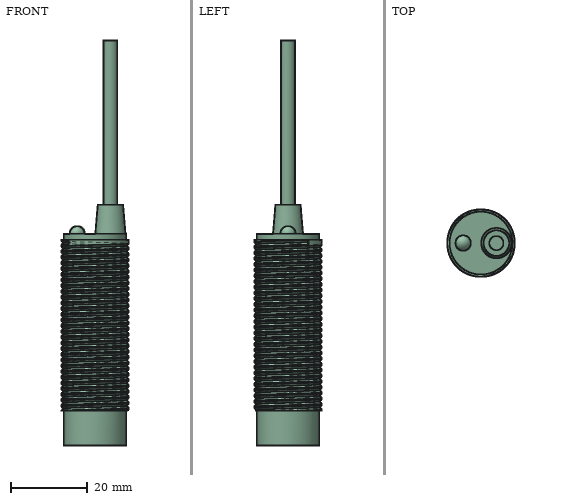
import cadquery as cq
import math

total_height = 106.2
core_diameter = 16.5
thread_diameter = 17.7
nose_height = 9.1
thread_top = 54.0
housing_top = 55.6

pitch = 1.5
root_diameter = 16.6
groove_width = 1.2
tool_overhang = 0.2
groove_end_height = 53.3
groove_end_angle = 218.0
groove_turns = 30.5

cable_x = 4.0
cable_diameter = 3.7
boot_base_diameter = 8.0
boot_top_diameter = 6.7
boot_top = 63.2

lamp_x = -4.7
lamp_radius = 2.0


def cylinder(diameter, bottom, top, x=0.0):
    """Vertical cylinder between two heights."""
    return cq.Workplane("XY", origin=(x, 0, bottom)).circle(diameter / 2).extrude(top - bottom)


def thread_groove():
    """Solid V profile swept along the thread helix."""
    root_radius = root_diameter / 2
    groove_depth = (thread_diameter - root_diameter) / 2
    mouth_radius = thread_diameter / 2 + tool_overhang
    half_mouth = groove_width / 2 * (groove_depth + tool_overhang) / groove_depth
    helix_height = groove_turns * pitch
    start_height = groove_end_height - helix_height
    start_angle = groove_end_angle - 360 * groove_turns

    helix = cq.Wire.makeHelix(pitch, helix_height, root_radius)
    groove = (
        cq.Workplane("XZ")
        .polyline([(root_radius, 0), (mouth_radius, -half_mouth), (mouth_radius, half_mouth)])
        .close()
        .sweep(cq.Workplane(obj=helix), isFrenet=True)
    )
    return groove.rotate((0, 0, 0), (0, 0, 1), math.fmod(start_angle, 360)).translate((0, 0, start_height))


def housing():
    """Plain nose, threaded sleeve and plain cap on one axis."""
    sleeve = cylinder(thread_diameter, nose_height, thread_top).cut(thread_groove())
    nose = cylinder(core_diameter, 0, nose_height)
    cap = cylinder(core_diameter, thread_top, housing_top)
    return sleeve.union(nose).union(cap)


def boot():
    """Tapered strain relief around the cable exit."""
    return (
        cq.Workplane("XY", origin=(cable_x, 0, housing_top))
        .circle(boot_base_diameter / 2)
        .workplane(offset=boot_top - housing_top)
        .circle(boot_top_diameter / 2)
        .loft()
    )


def lamp():
    """Ball half sunk into the end face, leaving a dome."""
    return cq.Workplane("XY", origin=(lamp_x, 0, housing_top)).sphere(lamp_radius)


cable = cylinder(cable_diameter, boot_top, total_height, cable_x)

result = housing().union(boot()).union(cable).union(lamp())